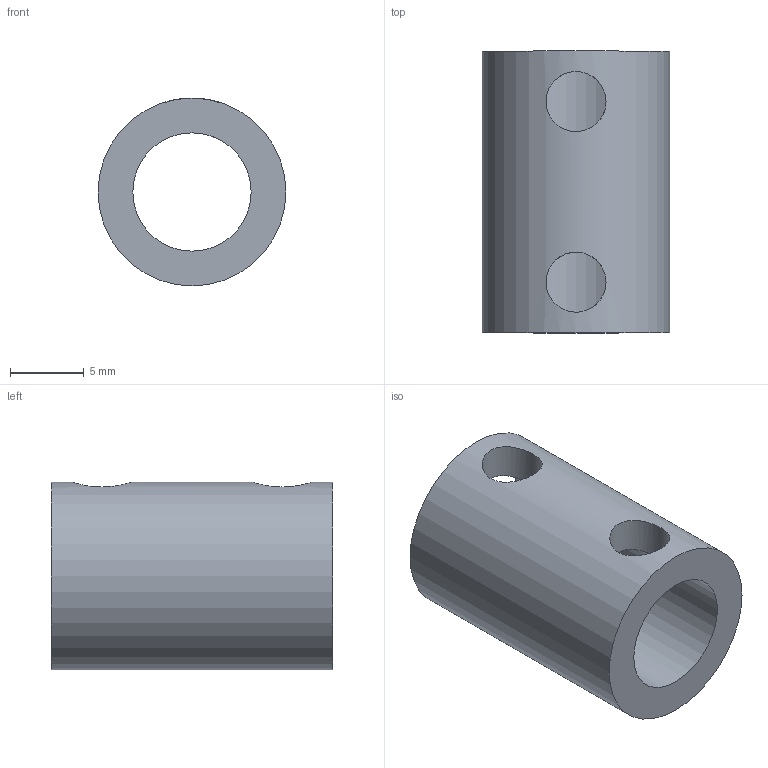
import cadquery as cq

outer_diameter = 12.7
bore_diameter = 8.0
length = 19.05

screw_hole_diameter = 4.06
screw_hole_end_distance = 3.42
screw_hole_offset = length / 2 - screw_hole_end_distance


def make_sleeve():
    """Tube centred on the origin with its bore along Y."""
    return (
        cq.Workplane("XZ")
        .circle(outer_diameter / 2)
        .circle(bore_diameter / 2)
        .extrude(length / 2, both=True)
    )


def make_screw_hole(y):
    """Vertical cutter from the bore axis out past the top of the sleeve."""
    return (
        cq.Workplane("XY")
        .center(0, y)
        .circle(screw_hole_diameter / 2)
        .extrude(outer_diameter)
    )


result = make_sleeve()
for hole_y in (-screw_hole_offset, screw_hole_offset):
    result = result.cut(make_screw_hole(hole_y))